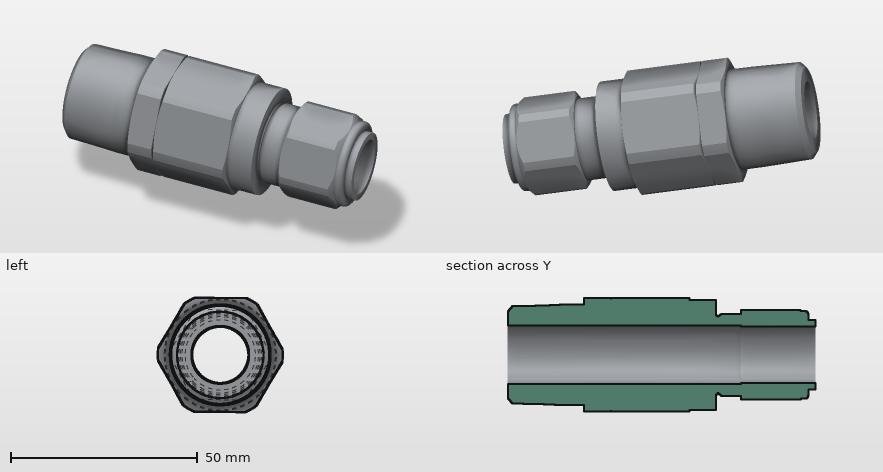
import cadquery as cq
import math

total_length = 82.55

nose_radius = 11.55
thread_start_radius = 13.1
shank_radius = 13.5
nose_chamfer_end = 1.3
thread_end = 14.95

collar_start = 20.4
body_start = 27.65
body_end = 48.8
large_flats = 30.5
large_corner_radius = 16.75
large_face_radius = 15.0
collar_chamfer = 0.5
body_chamfer = 0.7
body_end_chamfer = 0.5

round_end = 55.8
round_radius = 14.8
neck_end = 56.2
neck_radius = 10.65
stub_radius = 11.1
stub_chamfer_length = 1.1
stub_chamfer_height = 0.8

nut_start = 62.4
nut_hex_end = 78.6
nut_end = 80.6
nut_flats = 24.0
nut_corner_radius = 13.2
nut_face_radius = 11.8
nut_front_chamfer = 0.9
nut_rear_chamfer = 1.4
nut_end_fillet = 1.0

sleeve_radius = 9.4
bore_radius = 7.8
sleeve_bore_radius = 7.5

hex_twist = 1.6


def turned(profile):
    """Solid of revolution about X; the profile lists (x, radius) and is closed along the axis."""
    points = [(profile[0][0], 0)] + profile + [(profile[-1][0], 0)]
    return cq.Workplane("XY").polyline(points).close().revolve(360, (0, 0, 0), (1, 0, 0))


def cylinder(start, end, radius):
    return turned([(start, radius), (end, radius)])


def hexagon(start, end, flats, corner_radius, face_radius, front_chamfer, rear_chamfer, twist=0):
    """Hexagonal prism along X with corners at +/-Y, trimmed by a turned envelope."""
    corner_diameter = flats / math.cos(math.radians(30))
    prism = (
        cq.Workplane("YZ", origin=(start, 0, 0))
        .polygon(6, corner_diameter)
        .extrude(end - start)
        .rotate((0, 0, 0), (1, 0, 0), twist)
    )
    envelope = [(start, face_radius), (start + front_chamfer, corner_radius)]
    if rear_chamfer > 0:
        envelope += [(end - rear_chamfer, corner_radius), (end, face_radius)]
    else:
        envelope += [(end, corner_radius)]
    return prism.intersect(turned(envelope))


thread = turned([
    (0, nose_radius),
    (nose_chamfer_end, thread_start_radius),
    (thread_end, shank_radius),
    (collar_start, shank_radius),
])

collar = hexagon(
    collar_start, body_start, large_flats, large_corner_radius, large_face_radius,
    collar_chamfer, 0,
)
body = hexagon(
    body_start, body_end, large_flats, large_corner_radius, large_face_radius,
    body_chamfer, body_end_chamfer, hex_twist,
)

round_section = cylinder(body_end, round_end, round_radius)
stub = turned([
    (round_end, neck_radius),
    (neck_end, neck_radius),
    (neck_end, stub_radius - stub_chamfer_height),
    (neck_end + stub_chamfer_length, stub_radius),
    (nut_start, stub_radius),
])

nut = hexagon(
    nut_start, nut_hex_end, nut_flats, nut_corner_radius, nut_face_radius,
    nut_front_chamfer, nut_rear_chamfer, hex_twist,
)
nut_ring = cylinder(nut_hex_end, nut_end, nut_face_radius).faces(">X").edges().fillet(nut_end_fillet)
sleeve = cylinder(nut_end, total_length, sleeve_radius)

bore = turned([
    (0, bore_radius),
    (nut_start, bore_radius),
    (nut_start, sleeve_bore_radius),
    (total_length, sleeve_bore_radius),
])

result = thread
for section in (collar, body, round_section, stub, nut, nut_ring, sleeve):
    result = result.union(section)
result = result.cut(bore)